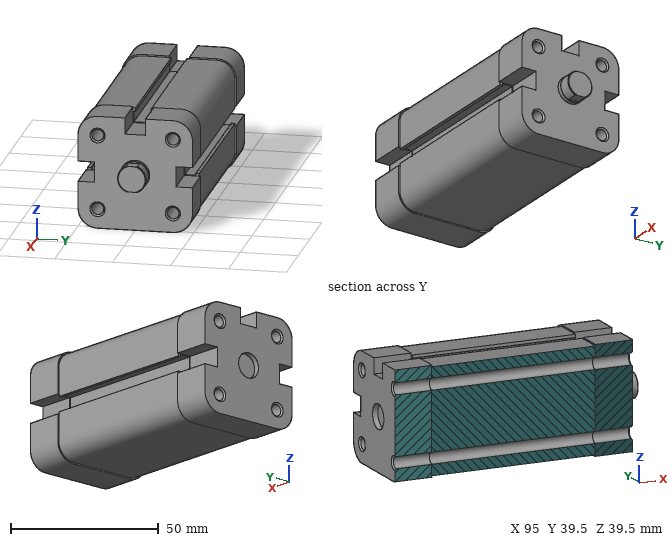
import cadquery as cq


cap_length = 14.0
tube_length = 61.0
rod_projection = 6.0
tube_start = cap_length
front_cap_start = tube_start + tube_length
body_length = front_cap_start + cap_length

cap_width = 39.5
tube_inset = 0.5
tube_width = cap_width - 2 * tube_inset
screw_pitch = 26.0
corner_radius = (cap_width - screw_pitch) / 2
tube_corner_radius = corner_radius - tube_inset

screw_hole_diameter = 4.1
screw_hole_mouth = 5.2
screw_chamfer = (screw_hole_mouth - screw_hole_diameter) / 2

slot_angles = (0, 90, -90)
cap_slot_width = 7.1
cap_slot_depth = 5.7
slot_clearance = 0.3
tube_slot_width = cap_slot_width - 2 * slot_clearance
tube_slot_floor = cap_width / 2 - cap_slot_depth + slot_clearance
slot_mouth_width = 5.4
slot_lip_thickness = 1.2

recess_diameter = 9.0
recess_depth = 2.0

rod_diameter = 10.0
rod_end_diameter = 9.8
rod_end_start = body_length + 1.5
rod_tip = body_length + rod_projection
rod_tip_chamfer = 0.25
flat_distance = 9.0
flat_depth = (rod_diameter - flat_distance) / 2


def rounded_bar(start, length, width, radius):
    """Square bar along X with rounded long edges."""
    bar = cq.Workplane("YZ", origin=(start, 0, 0)).rect(width, width).extrude(length)
    return bar.edges("|X").fillet(radius)


def slot_cutter(start, length, slot_width, floor, top):
    """Three straight slots along X, spanning floor to top from the axis."""
    middle = (start + length / 2, 0, (floor + top) / 2)
    slot = cq.Workplane("XY", origin=middle).box(length, slot_width, top - floor)
    cutter = cq.Workplane("XY")
    for angle in slot_angles:
        cutter = cutter.add(slot.rotate((0, 0, 0), (1, 0, 0), angle))
    return cutter.combine()


def screw_holes(start, length):
    """Four cylinders along X on the screw pattern."""
    pattern = cq.Workplane("YZ", origin=(start, 0, 0)).rect(screw_pitch, screw_pitch, forConstruction=True)
    return pattern.vertices().circle(screw_hole_diameter / 2).extrude(length)


def end_cap(start, outer_side):
    """Slotted cap whose screw holes are countersunk on the outer side ("<X" or ">X")."""
    cap = rounded_bar(start, cap_length, cap_width, corner_radius)
    cap = cap.cut(screw_holes(start, cap_length))
    cap = cap.faces(outer_side).edges("%CIRCLE").edges(
        cq.selectors.RadiusNthSelector(0)).chamfer(screw_chamfer)
    floor = cap_width / 2 - cap_slot_depth
    return cap.cut(slot_cutter(start, cap_length, cap_slot_width, floor, cap_width))


def make_rear_cap():
    """Cap with a blind centring recess in its outer face."""
    recess = cq.Workplane("YZ").circle(recess_diameter / 2).extrude(recess_depth)
    return end_cap(0, "<X").cut(recess)


def make_front_cap():
    """Cap with a through bore that guides the rod."""
    bore = cq.Workplane("YZ", origin=(front_cap_start, 0, 0)).circle(rod_diameter / 2).extrude(cap_length)
    return end_cap(front_cap_start, ">X").cut(bore)


def make_tube():
    """Profile tube with undercut slots that leave a lip on each side of the slot mouth."""
    tube = rounded_bar(tube_start, tube_length, tube_width, tube_corner_radius)
    tube = tube.cut(screw_holes(tube_start, tube_length))
    lip_underside = tube_width / 2 - slot_lip_thickness
    mouth = slot_cutter(tube_start, tube_length, slot_mouth_width, tube_slot_floor, tube_width)
    undercut = slot_cutter(tube_start, tube_length, tube_slot_width, tube_slot_floor, lip_underside)
    return tube.cut(mouth).cut(undercut)


def make_rod():
    """Rod with a relieved, chamfered end and two wrench flats that run out at 45 degrees."""
    shank = cq.Workplane("YZ", origin=(front_cap_start, 0, 0)).circle(rod_diameter / 2)
    shank = shank.extrude(rod_end_start - front_cap_start)
    end = cq.Workplane("YZ", origin=(rod_end_start, 0, 0)).circle(rod_end_diameter / 2)
    end = end.extrude(rod_tip - rod_end_start).faces(">X").chamfer(rod_tip_chamfer)
    surface = rod_diameter / 2
    flat_profile = [
        (rod_end_start, surface),
        (rod_end_start + flat_depth, surface - flat_depth),
        (rod_tip, surface - flat_depth),
        (rod_tip, surface),
    ]
    upper = cq.Workplane("XZ").polyline(flat_profile).close().extrude(surface, both=True)
    return shank.union(end).cut(upper).cut(upper.mirror("XY"))


rear_cap = make_rear_cap()
tube = make_tube()
front_cap = make_front_cap()
rod = make_rod()

result = cq.Compound.makeCompound([rear_cap.val(), tube.val(), front_cap.val(), rod.val()])